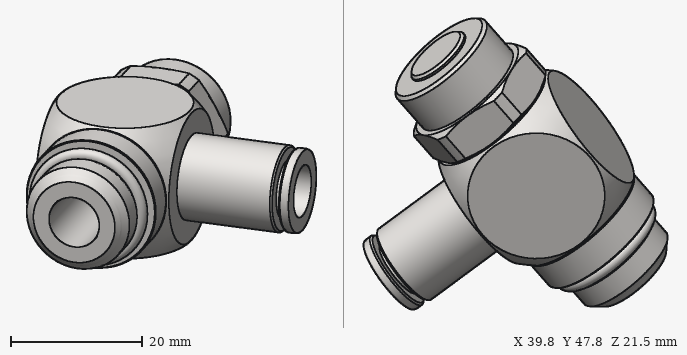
import cadquery as cq
import math


BODY_SIDE = 21.5
BODY_SPHERE_RADIUS = 15.0
BODY_HALF = BODY_SIDE / 2

COLLAR_RADIUS = 10.45
COLLAR_LENGTH = 4.95
COLLAR_CHAMFER = 0.15
RING_RADIUS = 9.5
RING_THICKNESS = 2.0
RING_GAP = 0.15
STUB_RADIUS = 8.3
STUB_START = 18.1
STUB_END = 23.4
LEAD_IN_START = 21.65
LEAD_IN_RADIUS = 7.45
LEAD_IN_LENGTH = 0.85
TIP_CHAMFER = 0.65
TIP_STEP = 0.2

HEX_ACROSS_FLATS = 20.0
HEX_CORNER_RADIUS = 11.05
HEX_END = 16.75
HEX_CHAMFER_ANGLE = 30.0
CAP_RADIUS = 9.0
CAP_END = 23.6
CAP_CHAMFER = 0.53
BUTTON_RADIUS = 5.2
BUTTON_END = 24.4
BUTTON_CHAMFER = 0.45

ARM_RADIUS = 6.75
ARM_END = 26.05
ARM_CHAMFER = 0.3
NECK_RADIUS = 4.6
HEAD_RADIUS = 6.55
HEAD_START = 27.05
HEAD_END = 28.7
HEAD_BACK_CHAMFER = 0.3
HEAD_RIM_TAPER_LENGTH = 0.35
HEAD_RIM_TAPER_DEPTH = 0.1

BORE_RADIUS = 4.05
DRILL_POINT_ANGLE = 120.0


def rod(plane, radius, start, end):
    """Cylinder about the normal of a plane through the origin, from start to end."""
    return cq.Workplane(plane).workplane(offset=start).circle(radius).extrude(end - start)


def turned_about_y(points):
    """Solid of revolution about Y from (radius, y) points; both ends close on the axis."""
    return cq.Workplane("XY").polyline(points).close().revolve(360, (0, 0, 0), (0, 1, 0))


def make_body():
    cube = cq.Workplane("XY").box(BODY_SIDE, BODY_SIDE, BODY_SIDE)
    return cube.intersect(cq.Workplane("XY").sphere(BODY_SPHERE_RADIUS))


def make_threaded_end():
    collar_end = BODY_HALF + COLLAR_LENGTH
    collar = rod("XZ", COLLAR_RADIUS, BODY_HALF, collar_end).faces("<Y or >Y").chamfer(COLLAR_CHAMFER)

    tube_radius = RING_THICKNESS / 2
    ring_center = RING_RADIUS - tube_radius
    ring_inner_radius = ring_center - tube_radius
    ring_y = -(collar_end + RING_GAP + tube_radius)
    ring = (
        cq.Workplane("XY")
        .center(ring_center, ring_y)
        .circle(tube_radius)
        .revolve(360, (-ring_center, 0, 0), (-ring_center, 1, 0))
    )

    core_radius = (ring_center + ring_inner_radius) / 2
    step_y = LEAD_IN_START + LEAD_IN_LENGTH
    stub = turned_about_y([
        (0, -collar_end),
        (core_radius, -collar_end),
        (core_radius, -STUB_START),
        (STUB_RADIUS, -STUB_START),
        (STUB_RADIUS, -LEAD_IN_START),
        (LEAD_IN_RADIUS, -step_y),
        (LEAD_IN_RADIUS - TIP_STEP, -(STUB_END - TIP_CHAMFER)),
        (LEAD_IN_RADIUS - TIP_STEP - TIP_CHAMFER, -STUB_END),
        (0, -STUB_END),
    ])
    return collar.union(ring).union(stub)


def make_hexagon():
    flat_radius = HEX_ACROSS_FLATS / 2
    chamfer_length = (HEX_CORNER_RADIUS - flat_radius) * math.tan(math.radians(HEX_CHAMFER_ANGLE))
    across_corners = HEX_ACROSS_FLATS / math.cos(math.pi / 6)
    prism = cq.Workplane("XZ").polygon(6, across_corners).extrude(-HEX_END)
    envelope = turned_about_y([
        (0, BODY_HALF),
        (flat_radius, BODY_HALF),
        (HEX_CORNER_RADIUS, BODY_HALF + chamfer_length),
        (HEX_CORNER_RADIUS, HEX_END - chamfer_length),
        (flat_radius, HEX_END),
        (0, HEX_END),
    ])
    return prism.intersect(envelope)


def make_cap():
    cap = rod("ZX", CAP_RADIUS, HEX_END, CAP_END).faces(">Y").chamfer(CAP_CHAMFER)
    button = rod("ZX", BUTTON_RADIUS, CAP_END, BUTTON_END).faces(">Y").chamfer(BUTTON_CHAMFER)
    return cap.union(button)


def make_arm():
    arm = rod("YZ", ARM_RADIUS, 0, ARM_END).faces(">X").chamfer(ARM_CHAMFER)
    neck = rod("YZ", NECK_RADIUS, ARM_END, HEAD_START)
    head = rod("YZ", HEAD_RADIUS, HEAD_START, HEAD_END).faces("<X").chamfer(HEAD_BACK_CHAMFER)
    head = head.faces(">X").chamfer(HEAD_RIM_TAPER_LENGTH, HEAD_RIM_TAPER_DEPTH)
    return arm.union(neck).union(head)


def make_drilling(plane, length):
    """Hole drilled along local Y from the outside to the origin, its conical point lying beyond."""
    point_length = BORE_RADIUS / math.tan(math.radians(DRILL_POINT_ANGLE / 2))
    half_section = [
        (0, -point_length),
        (BORE_RADIUS, 0),
        (BORE_RADIUS, length),
        (0, length),
    ]
    return cq.Workplane(plane).polyline(half_section).close().revolve(360, (0, 0, 0), (0, 1, 0))


threaded_end_section = cq.Plane(origin=(0, 0, 0), xDir=(1, 0, 0), normal=(0, 0, -1))
arm_section = cq.Plane(origin=(0, 0, 0), xDir=(0, 1, 0), normal=(0, 0, -1))

result = (
    make_body()
    .union(make_threaded_end())
    .union(make_hexagon())
    .union(make_cap())
    .union(make_arm())
    .cut(make_drilling(threaded_end_section, STUB_END))
    .cut(make_drilling(arm_section, HEAD_END))
)